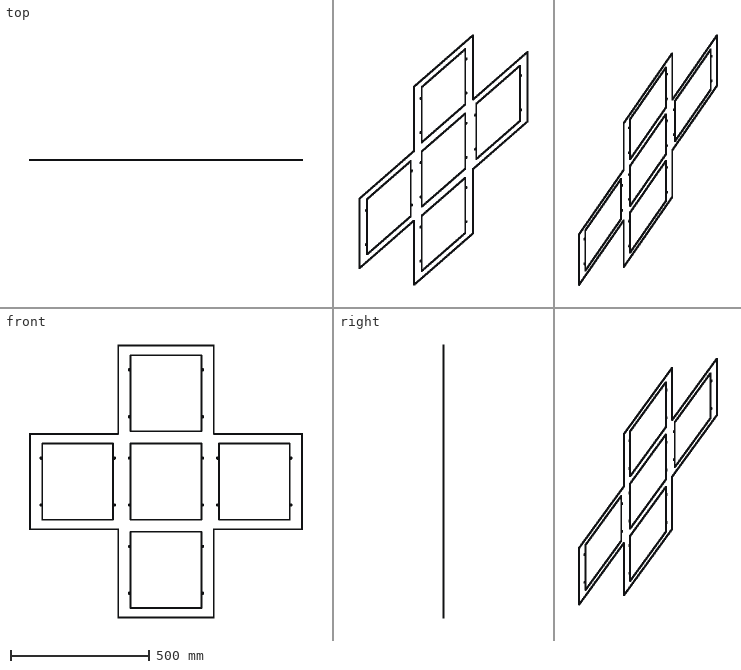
import cadquery as cq

overall_size = 986.0
cell_pitch = 320.0
sheet_thickness = 1.5
window_width = 256.0
window_height = 275.0
hole_diameter = 5.0
hole_spacing_x = 264.5
hole_spacing_z = 170.0

arm_width = overall_size - 2 * cell_pitch

cell_centres = [
    (0, 0),
    (cell_pitch, 0),
    (-cell_pitch, 0),
    (0, cell_pitch),
    (0, -cell_pitch),
]


def make_bar(size_x, size_z):
    """Flat sheet rectangle centred on the origin, lying in the XZ plane."""
    return cq.Workplane("XY").box(size_x, sheet_thickness, size_z)


def make_cross():
    """Horizontal and vertical arms joined into one plus-shaped sheet."""
    horizontal_arm = make_bar(overall_size, arm_width)
    vertical_arm = make_bar(arm_width, overall_size)
    return horizontal_arm.union(vertical_arm)


def cut_windows(sheet):
    """One rectangular opening through every cell."""
    windows = (
        cq.Workplane("XZ")
        .pushPoints(cell_centres)
        .rect(window_width, window_height)
        .extrude(sheet_thickness, both=True)
    )
    return sheet.cut(windows)


def cut_mounting_holes(sheet):
    """Four small through holes beside every window, two on each side."""
    hole_positions = [
        (centre_x + side_x * hole_spacing_x / 2, centre_z + side_z * hole_spacing_z / 2)
        for centre_x, centre_z in cell_centres
        for side_x in (-1, 1)
        for side_z in (-1, 1)
    ]
    holes = (
        cq.Workplane("XZ")
        .pushPoints(hole_positions)
        .circle(hole_diameter / 2)
        .extrude(sheet_thickness, both=True)
    )
    return sheet.cut(holes)


result = cut_mounting_holes(cut_windows(make_cross()))